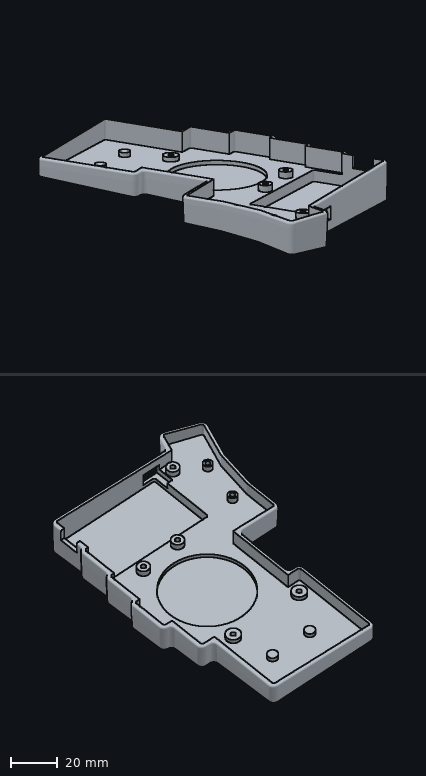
import cadquery as cq
import math

width = 147.0
depth = 98.5
height = 18.4
bottom_slope = math.tan(math.radians(3))
rim_slope = math.tan(math.radians(2))
seam_z = 12.2
draft = 2.0
base_tip_x = 146.5

wall = 2.0
inner_radius = 1.0
outer_radius = inner_radius + wall
concave_radius = 2.0
rim_round = 0.95

floor_z = 8.7
recess_depth = 1.9
bay_z = 3.5

left_front = 27.0
left_back = 86.7
right_back = 91.4
right_steps = [(117.3, 93.5), (98.3, 95.8), (79.5, depth)]
left_steps = [(56.9, 93.9), (37.8, left_back)]
right_x = 137.8
cutout_left = 49.1
cutout_right = 80.2
cutout_back = 33.6
front_y = 9.7

first_bend = (99.9, front_y)
second_bend_x = 119.5
thumb_angle = math.radians(20)
thumb_arc_x = 138.3

recess_center = (68.9, 62.6)
recess_diameter = 43.0
bay_left = 101.4
bay_front = 32.6
port_left = 127.5
port_front = 29.7
port_width = 9.3
port_z = 5.6
port_height = 5.9
notch_left = 120.5
notch_width = 10.0
notch_z = seam_z

screw_hole = 2.4
head_diameter = 4.4
head_depth = 2.0
hollow_posts = [
    (7.0, 2.0, [(40.7, 73.0), (40.7, 35.0)]),
    (6.0, 3.0, [(95.7, 75.2), (97.5, 53.8), (131.0, 26.3)]),
    (4.4, 3.0, [(101.7, 18.4), (122.7, 13.7)]),
]
pin_diameter = 5.0
pin_height = 2.0
pins = [(20.5, 68.5), (20.5, 47.0)]


def thumb_corners():
    """Lower and upper sharp corners of the turned end; its round corners touch y = 0 and x = width."""
    across = (math.cos(thumb_angle), -math.sin(thumb_angle))
    along = (math.sin(thumb_angle), math.cos(thumb_angle))
    arc_distance = (width - outer_radius - thumb_arc_x) / along[0]
    lower = [(thumb_arc_x, outer_radius)[i] + outer_radius * (across[i] - along[i]) for i in (0, 1)]
    upper = [lower[i] + (arc_distance + 2 * outer_radius) * along[i] for i in (0, 1)]
    return tuple(lower), tuple(upper)


def step_ends(x, low, high, inward, slanted):
    """Lower and upper corner of a step in the back edge; inward is +1 if it climbs towards +X.

    A step too low for two quarter arcs slants just enough for its two shorter arcs to meet.
    """
    lean = math.acos(max(0, 1 - (high - low) / (outer_radius + concave_radius)))
    if not slanted or high - low >= outer_radius + concave_radius:
        return (x, low), (x, high)
    top_x = x + inward * outer_radius * (1 - math.tan(lean / 2))
    return (top_x - inward * (high - low) / math.tan(lean), low), (top_x, high)


def stepped_outline(slanted):
    """Corner points, counter-clockwise from the front left."""
    lower, upper = thumb_corners()
    second_bend = (second_bend_x, lower[1] + (lower[0] - second_bend_x) * math.tan(thumb_angle))
    elbow_y = upper[1] + (upper[0] - right_x) * math.tan(thumb_angle)
    points = [
        (0, left_front), (cutout_left, left_front), (cutout_left, cutout_back),
        (cutout_right, cutout_back), (cutout_right, front_y),
        first_bend, second_bend, lower, upper, (right_x, elbow_y), (right_x, right_back),
    ]
    low = right_back
    for x, high in right_steps:
        points += step_ends(x, low, high, -1, slanted)
        low = high
    for x, low in left_steps:
        points += reversed(step_ends(x, low, high, 1, slanted))
        high = low
    points.append((0, left_back))
    return points


def unit(start, end):
    length = math.dist(start, end)
    return (end[0] - start[0]) / length, (end[1] - start[1]) / length


def corner_directions(points, i):
    """Unit vectors into and out of corner i, and the signed turn there."""
    before, corner, after = points[i - 1], points[i], points[(i + 1) % len(points)]
    a, b = unit(before, corner), unit(corner, after)
    turn = math.atan2(a[0] * b[1] - a[1] * b[0], a[0] * b[0] + a[1] * b[1])
    return a, b, turn


def inset(points, distance):
    """Move every side of the outline inwards."""
    moved = []
    for i, (x, y) in enumerate(points):
        a, b, turn = corner_directions(points, i)
        scale = distance / (1 + math.cos(turn))
        moved.append((x - (a[1] + b[1]) * scale, y + (a[0] + b[0]) * scale))
    return moved


def rounded_face(points, convex, concave, z):
    """Closed outline with round corners; shallow bends stay sharp."""
    shallow_bend = math.radians(15)
    shortest_line = 0.0001
    path = None
    here = None
    for i, (x, y) in enumerate(points):
        a, b, turn = corner_directions(points, i)
        radius = convex if turn > 0 else concave
        if abs(turn) < shallow_bend:
            radius = 0
        reach = radius * math.tan(abs(turn) / 2)
        start = (x - a[0] * reach, y - a[1] * reach)
        end = (x + b[0] * reach, y + b[1] * reach)
        if path is None:
            path = cq.Workplane("XY").workplane(offset=z).moveTo(*start)
        elif math.dist(here, start) > shortest_line:
            path = path.lineTo(*start)
        if radius:
            bulge = radius * (1 / math.cos(turn / 2) - 1) / math.hypot(b[0] - a[0], b[1] - a[1])
            middle = (x + (b[0] - a[0]) * bulge, y + (b[1] - a[1]) * bulge)
            path = path.threePointArc(middle, end)
        here = end
    return path.close()


def prism_xz(profile):
    """Block with the given X-Z profile, running past the part along Y."""
    return cq.Workplane("XZ").polyline(profile).close().extrude(2 * depth, both=True)


def prism_yz(profile):
    """Block with the given Y-Z profile, running past the part along X."""
    return cq.Workplane("YZ").polyline(profile).close().extrude(2 * width, both=True)


def underside_z(x):
    return (base_tip_x - x) * bottom_slope


def walled_body():
    """Solid body between the sloping underside and the sloping rim, with the rim's outer edge rounded."""
    outline = stepped_outline(slanted=True)
    rise = 2 * depth * rim_slope
    back_rim_y = depth - rim_round
    above_rim = prism_yz([
        (back_rim_y - 2 * depth, height - rise), (back_rim_y + 2 * depth, height + rise),
        (back_rim_y + 2 * depth, 3 * height), (back_rim_y - 2 * depth, 3 * height),
    ])
    upper = rounded_face(outline, outer_radius, concave_radius, seam_z).extrude(height).cut(above_rim)
    upper = upper.faces(">Z").edges().fillet(rim_round)
    below_base = prism_xz([
        (-width, underside_z(-width)), (2 * width, underside_z(2 * width)),
        (2 * width, -2 * height), (-width, -2 * height),
    ])
    lower = rounded_face(outline, outer_radius, concave_radius, seam_z).extrude(-2 * height, taper=draft)
    return upper.union(lower.cut(below_base))


def box(x, y, z, length, breadth, tall):
    """Block given by its lowest corner."""
    return cq.Workplane("XY").box(length, breadth, tall, centered=False).translate((x, y, z))


inner_outline = inset(stepped_outline(slanted=False), wall)
inner_right = right_x - wall
inner_back = right_back - wall

result = walled_body().cut(rounded_face(inner_outline, inner_radius, 0, floor_z).extrude(height))

result = result.cut(
    cq.Workplane("XY").workplane(offset=floor_z - recess_depth).center(*recess_center)
    .circle(recess_diameter / 2).extrude(recess_depth)
)

bay = box(bay_left, bay_front, bay_z, inner_right - bay_left, inner_back - bay_front, floor_z - bay_z)
result = result.cut(bay.edges("|Z").fillet(inner_radius))

result = result.cut(box(port_left, port_front, port_z, width - port_left, port_width, port_height))
result = result.cut(box(notch_left, inner_back - wall, notch_z, notch_width, 3 * wall, height))

for diameter, tall, centers in hollow_posts:
    posts = cq.Workplane("XY").workplane(offset=floor_z).pushPoints(centers)
    result = result.union(posts.circle(diameter / 2).extrude(tall))
    holes = cq.Workplane("XY").pushPoints(centers).circle(screw_hole / 2).extrude(height)
    result = result.cut(holes)
    for x, y in centers:
        head = cq.Workplane("XY").center(x, y).circle(head_diameter / 2).extrude(underside_z(x) + head_depth)
        result = result.cut(head)
posts = cq.Workplane("XY").workplane(offset=floor_z).pushPoints(pins)
result = result.union(posts.circle(pin_diameter / 2).extrude(pin_height))